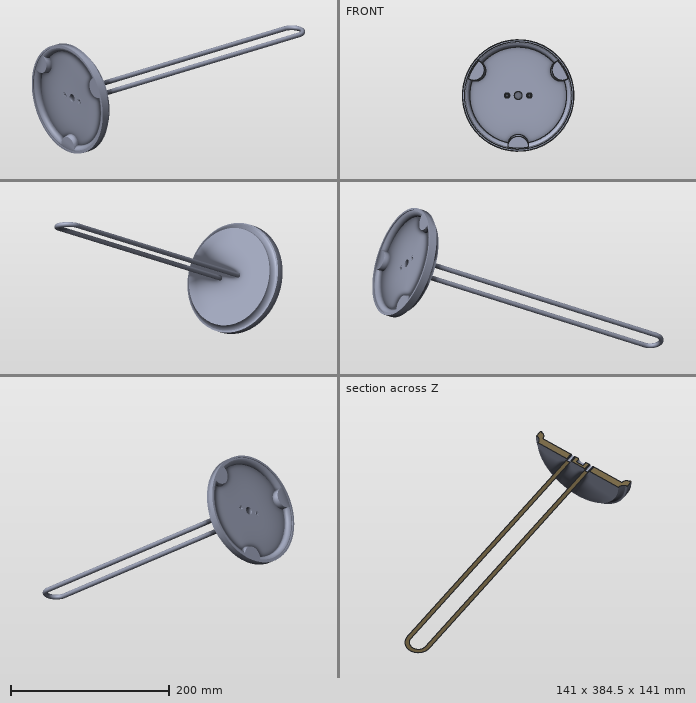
import cadquery as cq
import math

TOTAL_LENGTH = 384.5
BASE_DIAMETER = 141.0
SHOULDER_DIAMETER = 136.0
TOP_DIAMETER = 125.5
BASE_HEIGHT = 17.5
RIM_HEIGHT = 10.0
RIM_INNER_DIAMETER = 136.0
LEDGE_DIAMETER = 133.0
FLOOR_DIAMETER = 122.3
CAVITY_DEPTH = 8.0
LEDGE_DEPTH = 1.0
COVE_BULGE = 1.5

ROD_DIAMETER = 6.0
ROD_SPACING = 28.0
SOCKET_MOUTH_DIAMETER = 7.0
SOCKET_MOUTH_DEPTH = 0.5
ROD_HOLE_DIAMETER = 4.0
ROD_HOLE_DEPTH = 11.5
CENTER_HOLE_DIAMETER = 10.0
CENTER_HOLE_DEPTH = 6.0

FOOT_COUNT = 3
FOOT_WIDTH = 26.0
FOOT_INNER_REACH = 49.2
FOOT_LEAN = 2.3

base_radius = BASE_DIAMETER / 2
shoulder_radius = SHOULDER_DIAMETER / 2
top_radius = TOP_DIAMETER / 2
rim_inner_radius = RIM_INNER_DIAMETER / 2
ledge_radius = LEDGE_DIAMETER / 2
floor_radius = FLOOR_DIAMETER / 2
foot_radius = FOOT_WIDTH / 2


def cove_middle(start, end):
    """Point on a hollow arc, moved from the chord middle towards the axis."""
    across = start[0] - end[0]
    along = end[1] - start[1]
    chord = math.hypot(across, along)
    return (
        (start[0] + end[0]) / 2 - COVE_BULGE * along / chord,
        (start[1] + end[1]) / 2 - COVE_BULGE * across / chord,
    )


def turned_cove(rim_radius, step_radius, step_height, end_radius, end_height):
    """Revolve a straight rim, a flat step and a hollow cove about the Y axis."""
    start = (step_radius, step_height)
    end = (end_radius, end_height)
    return (
        cq.Workplane("XY")
        .moveTo(0, 0)
        .lineTo(rim_radius, 0)
        .lineTo(rim_radius, step_height)
        .lineTo(*start)
        .threePointArc(cove_middle(start, end), end)
        .lineTo(0, end_height)
        .close()
        .revolve(360, (0, 0, 0), (0, 1, 0))
    )


def cylinder_along_y(x, start, length, diameter):
    """Solid cylinder running towards +Y."""
    return cq.Workplane("XZ", origin=(x, start, 0)).circle(diameter / 2).extrude(-length)


def make_cavity():
    return turned_cove(rim_inner_radius, ledge_radius, LEDGE_DEPTH, floor_radius, CAVITY_DEPTH)


def make_base():
    base = turned_cove(base_radius, shoulder_radius, RIM_HEIGHT, top_radius, BASE_HEIGHT)
    base = base.cut(make_cavity())
    base = base.cut(cylinder_along_y(0, CAVITY_DEPTH, CENTER_HOLE_DEPTH, CENTER_HOLE_DIAMETER))
    for side in (-1, 1):
        socket_x = side * ROD_SPACING / 2
        base = base.cut(cylinder_along_y(socket_x, CAVITY_DEPTH, BASE_HEIGHT, ROD_DIAMETER))
        base = base.cut(
            cylinder_along_y(socket_x, CAVITY_DEPTH, SOCKET_MOUTH_DEPTH, SOCKET_MOUTH_DIAMETER)
        )
    return base


def make_rod():
    """Hairpin rod, both ends level with the cavity floor."""
    half_spacing = ROD_SPACING / 2
    bend_start = TOTAL_LENGTH - half_spacing - ROD_DIAMETER / 2
    path = (
        cq.Workplane("XY")
        .moveTo(-half_spacing, CAVITY_DEPTH)
        .lineTo(-half_spacing, bend_start)
        .threePointArc((0, bend_start + half_spacing), (half_spacing, bend_start))
        .lineTo(half_spacing, CAVITY_DEPTH)
    )
    rod = (
        cq.Workplane("XZ", origin=(-half_spacing, CAVITY_DEPTH, 0))
        .circle(ROD_DIAMETER / 2)
        .sweep(path)
    )
    for side in (-1, 1):
        hole = cylinder_along_y(side * half_spacing, CAVITY_DEPTH, ROD_HOLE_DEPTH, ROD_HOLE_DIAMETER)
        rod = rod.cut(hole)
    return rod


def foot_outline(height, inner_reach):
    """Closed U with its round end facing the base axis."""
    arc_center = -inner_reach - foot_radius
    return (
        cq.Workplane("XZ", origin=(0, height, 0))
        .moveTo(-foot_radius, -base_radius - foot_radius)
        .lineTo(-foot_radius, arc_center)
        .threePointArc((0, -inner_reach), (foot_radius, arc_center))
        .lineTo(foot_radius, -base_radius - foot_radius)
        .close()
        .wire()
        .val()
    )


def make_foot(angle):
    """Leaning foot filling the cavity from its floor to the ledge, against the cove."""
    outlines = [
        foot_outline(CAVITY_DEPTH, FOOT_INNER_REACH),
        foot_outline(LEDGE_DEPTH, FOOT_INNER_REACH + FOOT_LEAN),
    ]
    foot = cq.Workplane(cq.Solid.makeLoft(outlines, True))
    foot = foot.intersect(make_cavity()).intersect(
        cylinder_along_y(0, LEDGE_DEPTH, CAVITY_DEPTH - LEDGE_DEPTH, 2 * ledge_radius)
    )
    return foot.rotate((0, 0, 0), (0, 1, 0), angle)


base = make_base()
rod = make_rod()
feet = [make_foot(index * 360 / FOOT_COUNT) for index in range(FOOT_COUNT)]

result = cq.Compound.makeCompound([base.val(), rod.val(), *[foot.val() for foot in feet]])